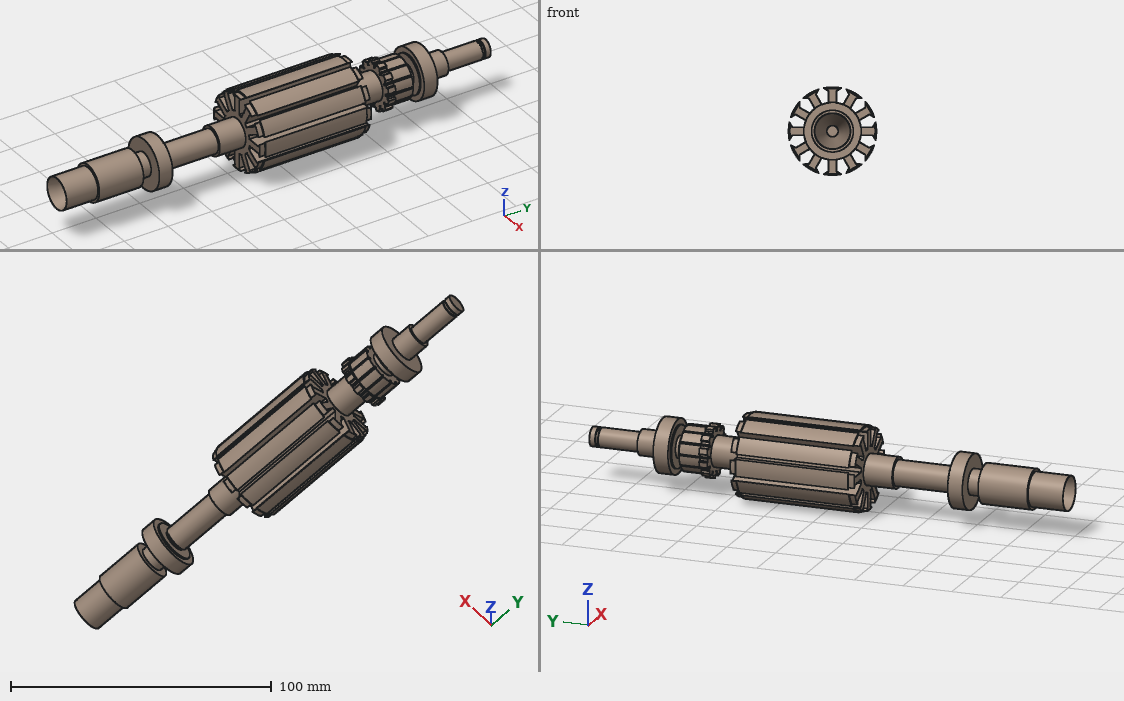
import cadquery as cq
import math

LENGTH = 195.5
DRIVE_END = LENGTH / 2
SOCKET_END = -LENGTH / 2

SPINDLE_DIAMETER = 7.8
SNAP_GROOVE_DIAMETER = 6.6
JOURNAL_DIAMETER = 10.4
RELIEF_DIAMETER = 9.0
SHAFT_DIAMETER = 12.5
SLEEVE_DIAMETER = 16.0
STUB_DIAMETER = 13.9

SNAP_GROOVE_Y = 94.2
SNAP_GROOVE_WIDTH = 1.2

SPINDLE_Y = 77.5
SHAFT_TOP_Y = 48.9
SHAFT_BOTTOM_Y = -27.4
SLEEVE_TOP_Y = -63.3
SLEEVE_BOTTOM_Y = -83.5

BEARING_DIAMETER = 22.0
BEARING_WIDTH = 6.0
COLLAR_DIAMETER = 17.2
COLLAR_WIDTH = 0.5
DRIVE_RELIEF_WIDTH = 1.5
SOCKET_RELIEF_WIDTH = 1.0
DRIVE_BEARING_Y = 68.8
SOCKET_BEARING_Y = -58.0

BAR_COUNT = 12
COMMUTATOR_DIAMETER = 18.5
COMMUTATOR_TOP_Y = 58.8
RISER_TOP_Y = 50.2
COMMUTATOR_BOTTOM_Y = 47.0
RISER_DIAMETER = 19.0
HOOK_DIAMETER = 21.0
HOOK_WIDTH = 2.3
BAR_GAP = 0.5
BAR_GAP_DEPTH = 1.2

TOOTH_COUNT = 12
ROTOR_DIAMETER = 33.8
ROTOR_END_DIAMETER = 32.6
ROTOR_TOP_Y = 35.2
ROTOR_BOTTOM_Y = -15.6
ROTOR_END_WIDTH = 2.3
ROTOR_HUB_DIAMETER = 18.0
TOOTH_WIDTH = 3.1
TOOTH_FLARE_DIAMETER = 30.7
TOOTH_TIP_WIDTH = 6.8

SOCKET_MOUTH_DIAMETER = 13.7
SOCKET_DEPTH = 20.1
SOCKET_FLOOR_DIAMETER = 4.3


def cylinder(diameter, y_low, y_high):
    return cq.Workplane("XZ", origin=(0, y_high, 0)).circle(diameter / 2).extrude(y_high - y_low)


def cut_groove(body, outer_diameter, floor_diameter, y_low, y_high):
    waste = cylinder(outer_diameter, y_low, y_high).cut(cylinder(floor_diameter, y_low, y_high))
    return body.cut(waste)


def around_axis(shape, count, start_angle=0.0):
    """Union of equally spaced copies of a shape turned about the Y axis."""
    ring = shape.rotate((0, 0, 0), (0, 1, 0), start_angle)
    for i in range(1, count):
        ring = ring.union(shape.rotate((0, 0, 0), (0, 1, 0), start_angle + i * 360.0 / count))
    return ring


def radial_block(width, r_low, r_high, y_low, y_high):
    """Block standing on +Z, between two radii."""
    return (
        cq.Workplane("XY", origin=(0, (y_low + y_high) / 2, r_low))
        .rect(width, y_high - y_low)
        .extrude(r_high - r_low)
    )


def make_shaft():
    shaft = cylinder(SPINDLE_DIAMETER, SPINDLE_Y, DRIVE_END)
    snap_groove_top = SNAP_GROOVE_Y + SNAP_GROOVE_WIDTH
    shaft = cut_groove(shaft, SPINDLE_DIAMETER, SNAP_GROOVE_DIAMETER, SNAP_GROOVE_Y, snap_groove_top)
    shaft = shaft.union(cylinder(JOURNAL_DIAMETER, SHAFT_TOP_Y, SPINDLE_Y))
    shaft = shaft.union(cylinder(SHAFT_DIAMETER, SHAFT_BOTTOM_Y, SHAFT_TOP_Y))
    shaft = shaft.union(cylinder(JOURNAL_DIAMETER, SLEEVE_TOP_Y, SHAFT_BOTTOM_Y))
    shaft = shaft.union(cylinder(SLEEVE_DIAMETER, SLEEVE_BOTTOM_Y, SLEEVE_TOP_Y))
    return shaft.union(cylinder(STUB_DIAMETER, SOCKET_END, SLEEVE_BOTTOM_Y))


def add_bearing(body, outward_y, inward, relief_width):
    """Add a bearing, its collar and the relief neck; inward is the Y sign towards the rotor."""
    ring_y = outward_y + inward * BEARING_WIDTH
    collar_y = ring_y + inward * COLLAR_WIDTH
    relief_y = collar_y + inward * relief_width
    body = cut_groove(body, JOURNAL_DIAMETER, RELIEF_DIAMETER, *sorted((collar_y, relief_y)))
    body = body.union(cylinder(BEARING_DIAMETER, *sorted((outward_y, ring_y))))
    return body.union(cylinder(COLLAR_DIAMETER, *sorted((ring_y, collar_y))))


def make_commutator():
    barrel = cylinder(COMMUTATOR_DIAMETER, COMMUTATOR_BOTTOM_Y, COMMUTATOR_TOP_Y)
    riser = cylinder(RISER_DIAMETER, COMMUTATOR_BOTTOM_Y, RISER_TOP_Y)
    hook = radial_block(HOOK_WIDTH, SHAFT_DIAMETER / 2, HOOK_DIAMETER / 2, COMMUTATOR_BOTTOM_Y, RISER_TOP_Y)
    hooks = around_axis(hook, BAR_COUNT, 180.0 / BAR_COUNT)
    gap_floor_r = COMMUTATOR_DIAMETER / 2 - BAR_GAP_DEPTH
    gap = radial_block(BAR_GAP, gap_floor_r, HOOK_DIAMETER / 2, COMMUTATOR_BOTTOM_Y, COMMUTATOR_TOP_Y)
    gaps = around_axis(gap, BAR_COUNT)
    return barrel.union(riser).union(hooks).cut(gaps)


def make_rotor():
    half_web = TOOTH_WIDTH / 2
    half_tip = TOOTH_TIP_WIDTH / 2
    rotor_r = ROTOR_DIAMETER / 2
    flare_z = TOOTH_FLARE_DIAMETER / 2
    tip_z = math.sqrt(rotor_r**2 - half_tip**2)
    tooth = (
        cq.Workplane("XZ", origin=(0, ROTOR_TOP_Y, 0))
        .moveTo(-half_web, 0)
        .lineTo(-half_web, flare_z)
        .lineTo(-half_tip, tip_z)
        .threePointArc((0, rotor_r), (half_tip, tip_z))
        .lineTo(half_web, flare_z)
        .lineTo(half_web, 0)
        .close()
        .extrude(ROTOR_TOP_Y - ROTOR_BOTTOM_Y)
    )
    hub = cylinder(ROTOR_HUB_DIAMETER, ROTOR_BOTTOM_Y, ROTOR_TOP_Y)
    rotor = hub.union(around_axis(tooth, TOOTH_COUNT))
    envelope = cylinder(ROTOR_END_DIAMETER, ROTOR_BOTTOM_Y, ROTOR_TOP_Y).union(
        cylinder(ROTOR_DIAMETER, ROTOR_BOTTOM_Y + ROTOR_END_WIDTH, ROTOR_TOP_Y - ROTOR_END_WIDTH)
    )
    return rotor.intersect(envelope)


def make_socket():
    return (
        cq.Workplane("XZ", origin=(0, SOCKET_END, 0))
        .circle(SOCKET_MOUTH_DIAMETER / 2)
        .workplane(offset=-SOCKET_DEPTH)
        .circle(SOCKET_FLOOR_DIAMETER / 2)
        .loft()
    )


body = make_shaft()
body = add_bearing(body, DRIVE_BEARING_Y, -1, DRIVE_RELIEF_WIDTH)
body = add_bearing(body, SOCKET_BEARING_Y, 1, SOCKET_RELIEF_WIDTH)
body = body.union(make_commutator())
body = body.union(make_rotor())
result = body.cut(make_socket())